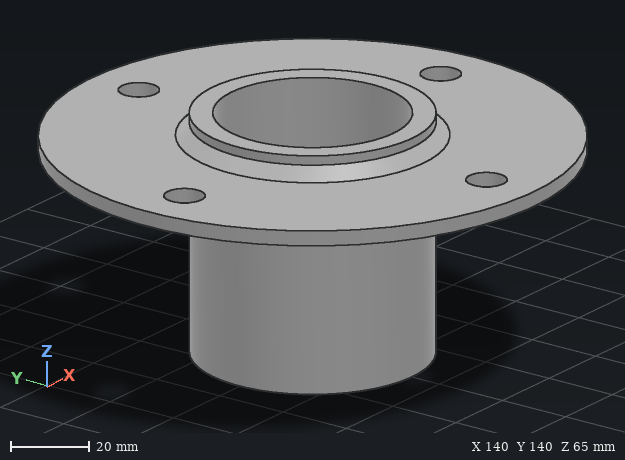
import cadquery as cq

flange_diameter = 140.0
flange_thickness = 4.0
tube_diameter = 63.0
bore_diameter = 51.0
tube_length = 65.0
tube_projection = 6.0
weld_size = 3.5
bolt_hole_diameter = 10.5
bolt_circle_diameter = 110.0
bolt_hole_count = 4

flange_top = tube_length - tube_projection
flange_bottom = flange_top - flange_thickness
tube_radius = tube_diameter / 2


def make_flange():
    """Round plate around the tube."""
    base = cq.Workplane("XY").workplane(offset=flange_bottom)
    return base.circle(flange_diameter / 2).extrude(flange_thickness)


def make_tube():
    """Tube blank, solid until the bore is cut."""
    return cq.Workplane("XY").circle(tube_radius).extrude(tube_length)


def make_weld():
    """Conical weld between the flange top and the tube."""
    return cq.Workplane(
        cq.Solid.makeCone(
            tube_radius + weld_size,
            tube_radius,
            weld_size,
            pnt=cq.Vector(0, 0, flange_top),
        )
    )


def make_bore():
    """Through bore of the tube."""
    return cq.Workplane("XY").circle(bore_diameter / 2).extrude(tube_length)


def make_bolt_holes():
    """Evenly spaced holes through the flange, on the X and Y axes."""
    return (
        cq.Workplane("XY")
        .workplane(offset=flange_bottom)
        .polarArray(bolt_circle_diameter / 2, 0, 360, bolt_hole_count)
        .circle(bolt_hole_diameter / 2)
        .extrude(flange_thickness)
    )


body = make_tube().union(make_flange()).union(make_weld())
result = body.cut(make_bore()).cut(make_bolt_holes())